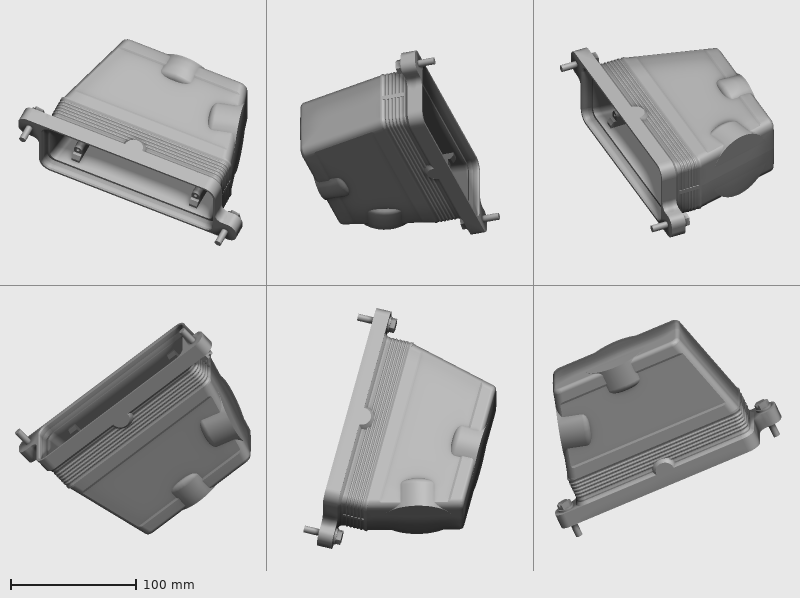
import cadquery as cq
import math


flange_half_x = 77.8
flange_width = 58.0
flange_half_z = flange_width / 2
flange_depth = 12.1
flange_corner = 10.0
ear_end_x = 96.2
ear_width = 19.8
ear_corner = 7.5
ear_root_radius = 6.4
skirt_height = 2.5
skirt_angle = 45.0

body_start_y = 8.7
body_half_x = 75.5
body_half_z = 26.2
body_edge_radius = 7.0
back_y = 110.0
back_edge_radius = 3.5
slope_start_y = 35.6
slope_half_x = 74.9
slope_angle = 15.0
draft = 1.0
panel_start_y = 43.5
panel_end_y = 98.5
panel_depth = 0.5
panel_step = 1.7

groove_count = 6
groove_pitch = 2.9
groove_first_y = 17.7
groove_floor = 0.8
groove_depth = 0.67
groove_lead = 1.64
groove_rib_half = 1.83

boss_radius = flange_half_z
boss_fillet = 5.8
boss_sink = 0.2
back_boss_length = 23.3
side_boss_length = 25.6
side_boss_y = 74.9

lug_base_radius = 10.5
lug_tip_radius = 7.5
lug_height = 3.5

rim_width = 2.0
rim_corner = 8.0
rim_lead_depth = 1.3
rim_lead_inset = 0.5
rim_taper_start = 5.2
rim_taper_inset = 1.0
rim_depth = 8.3
mouth_half_x = 72.0
mouth_half_z = 23.5
knee_half_x = 64.0
knee_y = 65.5
ceiling_half_x = 52.5
ceiling_half_z = 20.8
ceiling_edge_y = 105.7
ceiling_ridge_y = 106.5
cavity_edge_radius = 5.8
plug_x = 48.1

post_x = 52.0
post_z = 13.5
post_radius = 3.5
post_draft = 1.2
post_face_y = 17.9
post_hole_radius = 1.5
post_hole_depth = 11.5
shoulder_step_y = 15.5
shoulder_front_y = 13.0
shoulder_start_z = 17.5
shoulder_end_z = 20.6

screw_x = 86.5
screw_z = 19.2
screw_diameter = 5.5
screw_radius = screw_diameter / 2
screw_tip_y = -13.0
washer_radius = 6.5
washer_height = 1.7
head_height = 4.0
head_radius = 6.0
head_sides = 6
head_turn = -15.0
slot_turn = -30.0
slot_width = 1.7
slot_depth = 1.7

slope = math.tan(math.radians(slope_angle))


def rounded_block(half_x, half_z, radius, y, height, taper=0.0):
    """Block rising along +Y from y, with a rounded rectangle section."""
    section = cq.Sketch().rect(2 * half_z, 2 * half_x).vertices().fillet(radius)
    return cq.Workplane("ZX", origin=(0, y, 0)).placeSketch(section).extrude(height, taper=taper)


def outer_half_x(y):
    """Half width of the sloped side walls at a given y."""
    return slope_half_x - slope * (y - slope_start_y)


def make_flange():
    """Flange with two opposite screw ears and a sloped skirt up to the hood."""
    ear_inner_z = flange_half_z - ear_width
    half_outline = [
        (-ear_end_x, ear_inner_z, ear_corner),
        (-ear_end_x, flange_half_z, ear_corner),
        (flange_half_x, flange_half_z, flange_corner),
        (flange_half_x, -ear_inner_z, ear_root_radius),
    ]
    corners = half_outline + [(-x, -z, radius) for x, z, radius in half_outline]
    flange = cq.Workplane("ZX").polyline([(z, x) for x, z, _ in corners]).close().extrude(flange_depth)
    for x, z, radius in corners:
        nearest = cq.selectors.NearestToPointSelector((x, flange_depth / 2, z))
        flange = flange.edges("|Y").edges(nearest).fillet(radius)
    skirt = rounded_block(
        body_half_x + skirt_height,
        body_half_z + skirt_height,
        flange_corner,
        flange_depth,
        skirt_height,
        taper=skirt_angle,
    )
    return flange.union(skirt)


def make_sloped_body():
    """Tapered part of the hood, drafted both ways from the Z = 0 plane."""
    right_side = [
        (slope_half_x, body_start_y),
        (slope_half_x, slope_start_y),
        (outer_half_x(back_y), back_y),
    ]
    outline = right_side + [(-x, y) for x, y in reversed(right_side)]
    half = cq.Workplane("XY").polyline(outline).close().extrude(body_half_z, taper=draft)
    half = half.faces(">Z").edges("not |X").fillet(body_edge_radius)
    half = half.faces(">Y").edges("not(<Z)").fillet(back_edge_radius)
    return half.union(half.mirror("XY"))


def make_groove_half(flank):
    """Ring cutter for the upper half of a groove, interrupted by a rib on each end wall."""
    floor = groove_floor / 2
    floor_x = body_half_x - groove_depth
    floor_z = body_half_z - groove_depth
    flank_angle = math.degrees(math.atan(groove_depth / flank))
    floor_radius = body_edge_radius - groove_depth
    core = rounded_block(floor_x, floor_z, floor_radius, 0, floor)
    core = core.union(rounded_block(floor_x, floor_z, floor_radius, floor, flank, -flank_angle))
    height = floor + flank
    ring = rounded_block(2 * body_half_x, 2 * body_half_z, body_edge_radius, 0, height).cut(core)
    rib = rounded_block(3 * body_half_x, groove_rib_half, groove_rib_half / 2, 0, height)
    return ring.cut(rib)


def make_straight_body():
    """Straight part of the hood next to the flange."""
    length = slope_start_y - body_start_y
    return rounded_block(body_half_x, body_half_z, body_edge_radius, body_start_y, length)


def cut_grooves(body):
    """Row of grip grooves; the outermost flanks of the row are long and shallow."""
    for index in range(groove_count):
        lower_flank = groove_lead if index == 0 else groove_depth
        upper_flank = groove_lead if index == groove_count - 1 else groove_depth
        groove = make_groove_half(upper_flank).union(make_groove_half(lower_flank).mirror("XZ"))
        body = body.cut(groove.translate((0, groove_first_y + index * groove_pitch, 0)))
    return body


def cut_panels(body):
    """Shallow recess with sloped ends across each broad face."""
    floor_z = body_half_z - panel_depth
    panel = (
        cq.Workplane("YZ")
        .polyline([
            (panel_start_y - panel_step, body_half_z + panel_depth),
            (panel_start_y + panel_step, floor_z),
            (panel_end_y - panel_step, floor_z),
            (panel_end_y + panel_step, body_half_z + panel_depth),
        ])
        .close()
        .extrude(body_half_x, both=True)
    )
    return body.cut(panel).cut(panel.mirror("XY"))


def side_boss_plane():
    """Plane on the sloped +X wall whose normal points into the hood."""
    angle = math.radians(slope_angle)
    normal = (-math.cos(angle), -math.sin(angle), 0)
    origin = (
        outer_half_x(side_boss_y) + boss_sink * normal[0],
        side_boss_y + boss_sink * normal[1],
        0,
    )
    return cq.Plane(origin=origin, xDir=(0, 0, 1), normal=normal)


def make_boss(plane, length):
    """Domed-end cylinder running from the plane origin along its normal."""
    cylinder = cq.Workplane("XY").circle(boss_radius).extrude(length)
    cylinder = cylinder.faces(">Z").edges().fillet(boss_fillet)
    return cq.Workplane(cylinder.val().located(plane.location))


def make_lug():
    """Conical locking lug on the +Z side, half sunk into the flange."""
    base_z = flange_half_z - lug_height
    return (
        cq.Workplane("XY", origin=(0, flange_depth, base_z))
        .circle(lug_base_radius)
        .workplane(offset=lug_height)
        .circle(lug_tip_radius)
        .loft()
    )


def make_rim():
    """Stepped opening that narrows from the mating face to the inner ledge."""
    half_x = flange_half_x - rim_width
    half_z = flange_half_z - rim_width
    throat_x = half_x - rim_lead_inset
    throat_z = half_z - rim_lead_inset
    lead_angle = math.degrees(math.atan(rim_lead_inset / rim_lead_depth))
    taper_height = rim_depth - rim_taper_start
    taper_angle = math.degrees(math.atan(rim_taper_inset / taper_height))
    lead = rounded_block(half_x, half_z, rim_corner, 0, rim_lead_depth, lead_angle)
    throat_radius = rim_corner - rim_lead_inset
    throat = rounded_block(throat_x, throat_z, throat_radius, 0, rim_taper_start)
    taper = rounded_block(throat_x, throat_z, throat_radius, rim_taper_start, taper_height, taper_angle)
    return lead.union(throat).union(taper)


def make_plug():
    """Solid pad behind the side boss: round underneath, plain up to the ceiling."""
    plane = side_boss_plane()
    outline = (
        cq.Workplane(plane)
        .moveTo(-boss_radius, 0)
        .threePointArc((0, -boss_radius), (boss_radius, 0))
        .lineTo(boss_radius, back_y)
        .lineTo(-boss_radius, back_y)
        .close()
    )
    pad = outline.extrude(body_half_x, both=True)
    right_part = cq.Workplane("XY", origin=(plug_x, 0, 0)).box(
        body_half_x, 2 * back_y, 2 * boss_radius, centered=(False, True, True)
    )
    return pad.intersect(right_part)


def make_post():
    """Insert post in the +X, +Z quarter, running from its face to the ceiling."""
    column = (
        cq.Workplane("ZX", origin=(0, post_face_y, 0))
        .moveTo(body_half_z, post_x + post_radius)
        .lineTo(post_z, post_x + post_radius)
        .threePointArc((post_z - post_radius, post_x), (post_z, post_x - post_radius))
        .lineTo(body_half_z, post_x - post_radius)
        .close()
        .extrude(back_y - post_face_y, taper=-post_draft)
    )
    shoulder = (
        cq.Workplane("YZ", origin=(post_x, 0, 0))
        .polyline([
            (post_face_y, shoulder_start_z),
            (shoulder_step_y, shoulder_start_z),
            (shoulder_front_y, shoulder_end_z),
            (shoulder_front_y, body_half_z),
            (post_face_y, body_half_z),
        ])
        .close()
        .extrude(post_radius, both=True)
    )
    hole = cq.Workplane("ZX", origin=(0, post_face_y, 0)).center(post_z, post_x)
    hole = hole.circle(post_hole_radius).extrude(post_hole_depth)
    return column.union(shoulder).cut(hole)


def make_cavity():
    """Drafted inner space with a ridged ceiling, less the plug and the four posts."""
    right_side = [
        (mouth_half_x, 0),
        (mouth_half_x, rim_depth),
        (knee_half_x, knee_y),
        (ceiling_half_x, ceiling_ridge_y),
    ]
    outline = right_side + [(-x, y) for x, y in reversed(right_side)]
    plan = cq.Workplane("XY").polyline(outline).close().extrude(mouth_half_z, both=True)
    section = (
        cq.Workplane("YZ")
        .polyline([
            (0, -mouth_half_z),
            (0, mouth_half_z),
            (ceiling_edge_y, ceiling_half_z),
            (ceiling_ridge_y, 0),
            (ceiling_edge_y, -ceiling_half_z),
        ])
        .close()
        .extrude(body_half_x, both=True)
    )
    cavity = plan.intersect(section)
    cavity = cavity.edges("not(|X or |Z)").edges("not(>Y)").fillet(cavity_edge_radius)
    cavity = cavity.cut(make_plug())
    upper_posts = make_post().union(make_post().mirror("YZ"))
    return cavity.cut(upper_posts).cut(upper_posts.mirror("XY"))


def make_screw():
    """Slotted hex screw with washer, its axis on X = Z = 0."""
    washer_y = flange_depth + washer_height
    head_y = washer_y + head_height
    shank = cq.Workplane("ZX", origin=(0, screw_tip_y, 0)).circle(screw_radius)
    shank = shank.extrude(washer_y - screw_tip_y)
    washer = cq.Workplane("ZX", origin=(0, flange_depth, 0)).circle(washer_radius).extrude(washer_height)
    head = cq.Workplane("ZX", origin=(0, washer_y, 0)).polygon(head_sides, 2 * head_radius)
    head = head.extrude(head_height)
    slot = cq.Workplane("XY").box(slot_width, 2 * slot_depth, 3 * head_radius).translate((0, head_y, 0))
    slot = slot.rotate((0, 0, 0), (0, 1, 0), slot_turn)
    head = head.cut(slot).rotate((0, 0, 0), (0, 1, 0), head_turn)
    return shank.union(washer).union(head)


def make_shell():
    """Complete hollow hood without its screws."""
    back_boss_plane = cq.Plane(
        origin=(0, back_y - boss_sink, 0), xDir=(0, 0, 1), normal=(0, -1, 0)
    )
    lug = make_lug()
    body = make_sloped_body().union(make_straight_body())
    shell = cut_grooves(cut_panels(body)).union(make_flange())
    shell = shell.union(make_boss(back_boss_plane, back_boss_length))
    shell = shell.union(make_boss(side_boss_plane(), side_boss_length))
    shell = shell.union(lug).union(lug.mirror("XY"))
    return shell.cut(make_cavity()).cut(make_rim())


def add_screws(shell):
    """Put one screw through each ear."""
    screw = make_screw()
    for side in (-1, 1):
        shell = shell.union(screw.translate((side * screw_x, 0, -side * screw_z)))
    return shell


result = add_screws(make_shell())